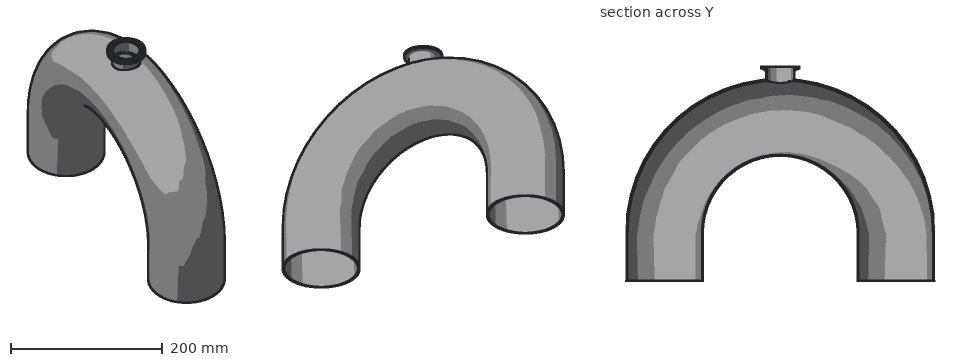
import cadquery as cq
import math

overall_width = 406.5
overall_height = 282.5
pipe_od = 101.5
pipe_id = 97.5
leg_length = 63.0
bend_radius = (overall_width - pipe_od) / 2

neck_od = 38.0
neck_id = 35.0
flange_od = 50.5
rim_thickness = 3.0
flange_back_angle = 20.0
neck_fillet = 1.2
groove_diameter = 44.0
groove_width = 4.0
groove_floor_width = 2.5
groove_depth = 1.5

bend_center_z = leg_length
pipe_axis_top_z = bend_center_z + bend_radius


def u_bend(diameter):
    """Solid round bar following two straight legs and the half-circle bend."""
    path = (
        cq.Workplane("XZ")
        .moveTo(-bend_radius, 0)
        .lineTo(-bend_radius, bend_center_z)
        .threePointArc((0, pipe_axis_top_z), (bend_radius, bend_center_z))
        .lineTo(bend_radius, 0)
    )
    return cq.Workplane("XY").center(-bend_radius, 0).circle(diameter / 2).sweep(path)


def ferrule_body():
    """Solid neck from the pipe axis up to the flange, tapered on its back."""
    neck_radius = neck_od / 2
    flange_radius = flange_od / 2
    rim_bottom_z = overall_height - rim_thickness
    taper_drop = (flange_radius - neck_radius) * math.tan(math.radians(flange_back_angle))
    body = (
        cq.Workplane("XZ")
        .moveTo(0, pipe_axis_top_z)
        .lineTo(neck_radius, pipe_axis_top_z)
        .lineTo(neck_radius, rim_bottom_z - taper_drop)
        .lineTo(flange_radius, rim_bottom_z)
        .lineTo(flange_radius, overall_height)
        .lineTo(0, overall_height)
        .close()
        .revolve(360, (0, 0, 0), (0, 1, 0))
    )
    neck_top = cq.selectors.RadiusNthSelector(0)
    return body.faces("%CONE").edges(neck_top).fillet(neck_fillet)


def gasket_groove():
    """Ring with sloping sides, sunk into the flange face."""
    groove_radius = groove_diameter / 2
    floor_z = overall_height - groove_depth
    return (
        cq.Workplane("XZ")
        .moveTo(groove_radius - groove_width / 2, overall_height)
        .lineTo(groove_radius - groove_floor_width / 2, floor_z)
        .lineTo(groove_radius + groove_floor_width / 2, floor_z)
        .lineTo(groove_radius + groove_width / 2, overall_height)
        .close()
        .revolve(360, (0, 0, 0), (0, 1, 0))
    )


def neck_bore():
    """Cylinder opening the ferrule into the inside of the pipe."""
    return (
        cq.Workplane("XY", origin=(0, 0, pipe_axis_top_z))
        .circle(neck_id / 2)
        .extrude(overall_height - pipe_axis_top_z)
    )


outer_shape = u_bend(pipe_od).union(ferrule_body())
result = outer_shape.cut(u_bend(pipe_id)).cut(neck_bore()).cut(gasket_groove())